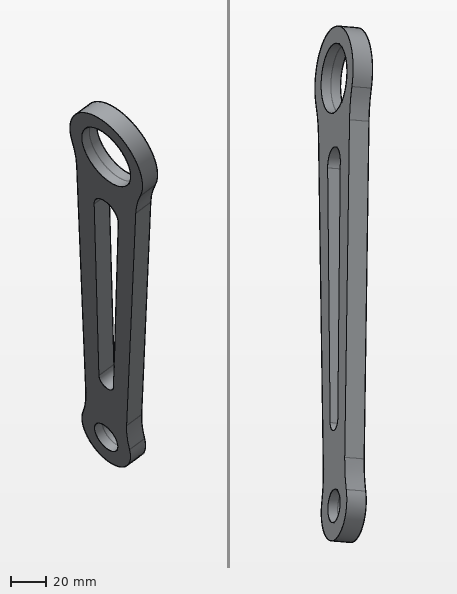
import cadquery as cq
import math

length = 300.0
thickness = 12.0
big_radius = 30.0
small_radius = 20.0
big_hole_radius = 20.0
small_hole_radius = 9.5
neck_radius = 60.0
arm_half_width_top = 25.5
arm_half_width_bottom = 16.0
slot_top_radius = 10.0
slot_bottom_radius = 6.0
slot_inset = 50.0

eye_spacing = length - big_radius - small_radius
slot_bottom_z = slot_inset
slot_top_z = eye_spacing - slot_inset

taper = math.atan((arm_half_width_top - arm_half_width_bottom) / eye_spacing)
along = (math.sin(taper), math.cos(taper))
outward = (math.cos(taper), -math.sin(taper))


def move(point, direction, distance):
    return (point[0] + direction[0] * distance, point[1] + direction[1] * distance)


def mirror(point):
    return (-point[0], point[1])


def neck(eye_z, eye_radius, arm_half_width, side):
    """Points on the eye, mid-arc and arm of the right-hand concave neck.

    side is 1 when the arm extends upward from the eye, -1 when downward.
    """
    center_distance = eye_radius + neck_radius
    reach = math.sqrt(center_distance**2 - (arm_half_width * math.cos(taper) + neck_radius)**2)
    foot = move((arm_half_width, eye_z), along, side * reach - arm_half_width * math.sin(taper))
    center = move(foot, outward, neck_radius)
    to_eye = (-center[0] / center_distance, (eye_z - center[1]) / center_distance)
    on_eye = move(center, to_eye, neck_radius)
    middle = (to_eye[0] - outward[0], to_eye[1] - outward[1])
    middle_length = math.hypot(*middle)
    on_arc = move(center, middle, neck_radius / middle_length)
    return on_eye, on_arc, foot


def make_body():
    small_eye, small_arc, small_arm = neck(0, small_radius, arm_half_width_bottom, 1)
    big_eye, big_arc, big_arm = neck(eye_spacing, big_radius, arm_half_width_top, -1)
    return (
        cq.Workplane("XZ")
        .moveTo(*small_eye)
        .threePointArc(small_arc, small_arm)
        .lineTo(*big_arm)
        .threePointArc(big_arc, big_eye)
        .threePointArc((0, eye_spacing + big_radius), mirror(big_eye))
        .threePointArc(mirror(big_arc), mirror(big_arm))
        .lineTo(*mirror(small_arm))
        .threePointArc(mirror(small_arc), mirror(small_eye))
        .threePointArc((0, -small_radius), small_eye)
        .close()
        .extrude(thickness / 2, both=True)
    )


def make_hole(center_z, radius):
    return cq.Workplane("XZ").center(0, center_z).circle(radius).extrude(thickness, both=True)


def make_slot():
    slot_taper = math.asin((slot_top_radius - slot_bottom_radius) / (slot_top_z - slot_bottom_z))
    normal = (math.cos(slot_taper), -math.sin(slot_taper))
    bottom = move((0, slot_bottom_z), normal, slot_bottom_radius)
    top = move((0, slot_top_z), normal, slot_top_radius)
    return (
        cq.Workplane("XZ")
        .moveTo(*bottom)
        .lineTo(*top)
        .threePointArc((0, slot_top_z + slot_top_radius), mirror(top))
        .lineTo(*mirror(bottom))
        .threePointArc((0, slot_bottom_z - slot_bottom_radius), bottom)
        .close()
        .extrude(thickness, both=True)
    )


result = (
    make_body()
    .cut(make_hole(0, small_hole_radius))
    .cut(make_hole(eye_spacing, big_hole_radius))
    .cut(make_slot())
)